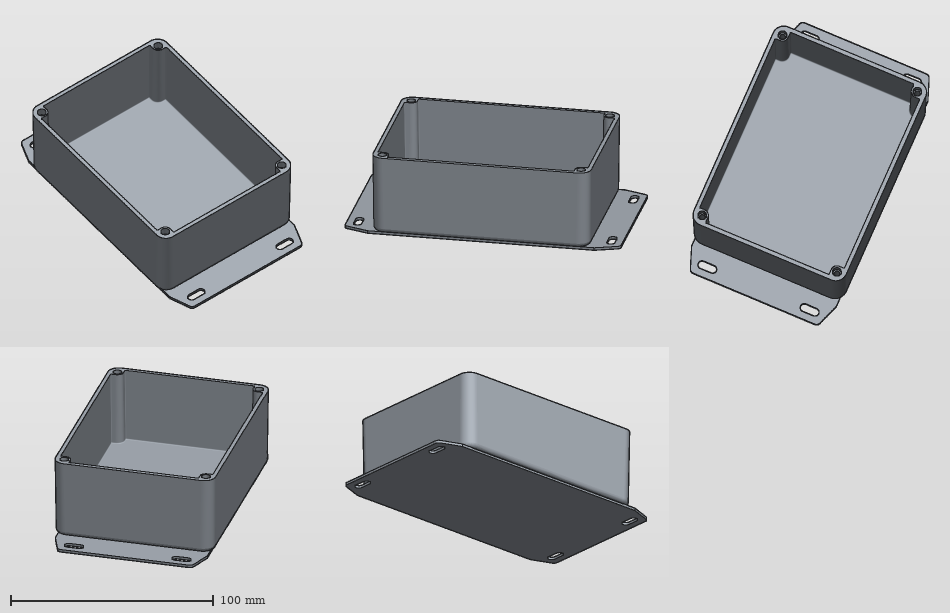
import cadquery as cq
import math

plate_length = 139.1
plate_width = 77.9
plate_thickness = 1.4
plate_shoulder_x = 57.2
plate_end_width = 68.7
plate_corner_radius = 2.2

slot_length = 9.7
slot_width = 4.0
slot_x = 63.9
slot_y = 27.5

total_height = 41.5
box_length = 110.0
box_width = 82.1
box_top_corner_radius = 5.7
box_base_corner_radius = 6.3
box_bottom_radius = 2.1
outer_draft_angle = 0.5
cavity_draft_angle = 1.0
box_height = total_height - plate_thickness

wall_thickness = 2.1
floor_thickness = 2.2
floor_fillet = 0.5
cavity_length = box_length - 2 * wall_thickness
cavity_width = box_width - 2 * wall_thickness
cavity_depth = box_height - floor_thickness

screw_x = 50.1
screw_y = 36.3
post_radius = 3.0
post_wall_fillet = 0.4
screw_hole_diameter = 2.8
screw_hole_depth = 16.7
drill_point_angle = 118.0
counterbore_diameter = 4.3
counterbore_depth = 4.2

corners = [(sx, sy) for sx in (-1, 1) for sy in (-1, 1)]


def make_plate():
    """Flat plate with tapered ends and a slot near each corner."""
    end_x = plate_length / 2
    half_width = plate_width / 2
    half_end = plate_end_width / 2
    plate = (
        cq.Workplane("XY")
        .moveTo(-plate_shoulder_x, -half_width)
        .lineTo(plate_shoulder_x, -half_width)
        .lineTo(end_x, -half_end)
        .lineTo(end_x, half_end)
        .lineTo(plate_shoulder_x, half_width)
        .lineTo(-plate_shoulder_x, half_width)
        .lineTo(-end_x, half_end)
        .lineTo(-end_x, -half_end)
        .close()
        .extrude(plate_thickness)
    )
    plate = plate.edges("|Z and (<X or >X)").fillet(plate_corner_radius)
    slots = (
        cq.Workplane("XY")
        .pushPoints([(sx * slot_x, sy * slot_y) for sx, sy in corners])
        .slot2D(slot_length, slot_width, 90)
        .extrude(plate_thickness)
    )
    return plate.cut(slots)


def rounded_rectangle(length, width, radius):
    """Rectangle outline, centered on the origin, with rounded corners."""
    return cq.Sketch().rect(length, width).vertices().fillet(radius)


def make_shell():
    """Solid outside of the box, narrowing downward to rounder corners and a rounded bottom edge."""
    inset = box_height * math.tan(math.radians(outer_draft_angle))
    base = rounded_rectangle(box_length - 2 * inset, box_width - 2 * inset, box_base_corner_radius)
    rim = rounded_rectangle(box_length, box_width, box_top_corner_radius)
    base_at = cq.Location(cq.Vector(0, 0, plate_thickness))
    rim_at = cq.Location(cq.Vector(0, 0, total_height))
    shell = cq.Workplane("XY").placeSketch(base.moved(base_at), rim.moved(rim_at)).loft(ruled=True)
    return shell.faces("<Z").edges().fillet(box_bottom_radius)


def make_post(sx, sy):
    """Screw post widening downward, reaching past the cavity corner into the walls."""
    reach_x = box_length / 2 - screw_x
    reach_y = box_width / 2 - screw_y
    return (
        cq.Workplane("XY", origin=(sx * screw_x, sy * screw_y, total_height))
        .moveTo(-sx * post_radius, 0)
        .radiusArc((0, -sy * post_radius), -sx * sy * post_radius)
        .lineTo(sx * reach_x, -sy * post_radius)
        .lineTo(sx * reach_x, sy * reach_y)
        .lineTo(-sx * post_radius, sy * reach_y)
        .close()
        .extrude(-cavity_depth, taper=-cavity_draft_angle)
    )


def post_wall_edges():
    """Selector for the upright edges where the screw posts run into the cavity walls."""
    half_length = cavity_length / 2
    half_width = cavity_width / 2
    margin = 1.4
    inner = cq.selectors.BoxSelector(
        (margin - half_length, margin - half_width, 0),
        (half_length - margin, half_width - margin, total_height),
    )
    return cq.StringSyntaxSelector("(not #Z) and (not <Z) and (not >Z)") - inner


def make_cavity():
    """Inside of the box: a tapered pocket notched by the four screw posts."""
    cavity = (
        cq.Workplane("XY", origin=(0, 0, total_height))
        .rect(cavity_length, cavity_width)
        .extrude(-cavity_depth, taper=cavity_draft_angle)
    )
    for sx, sy in corners:
        cavity = cavity.cut(make_post(sx, sy))
    cavity = cavity.edges(post_wall_edges()).fillet(post_wall_fillet)
    return cavity.faces("<Z").edges().fillet(floor_fillet)


def make_screw_hole():
    """Counterbored blind hole with a drill point, opening at the origin."""
    hole_radius = screw_hole_diameter / 2
    bore_radius = counterbore_diameter / 2
    point_depth = hole_radius / math.tan(math.radians(drill_point_angle / 2))
    return (
        cq.Workplane("XZ")
        .moveTo(0, 0)
        .lineTo(bore_radius, 0)
        .lineTo(bore_radius, -counterbore_depth)
        .lineTo(hole_radius, -counterbore_depth)
        .lineTo(hole_radius, -screw_hole_depth)
        .lineTo(0, -screw_hole_depth - point_depth)
        .close()
        .revolve(360, (0, 0, 0), (0, 1, 0))
    )


box = make_shell().cut(make_cavity())
screw_hole = make_screw_hole()
for sx, sy in corners:
    box = box.cut(screw_hole.translate((sx * screw_x, sy * screw_y, total_height)))

result = make_plate().union(box)